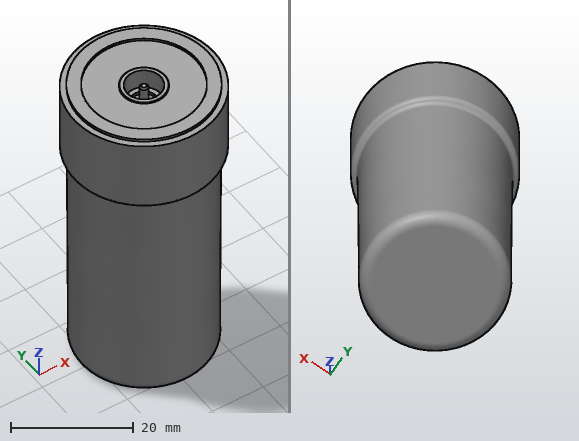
import cadquery as cq

height = 59.6
head_radius = 13.8
body_top_radius = 12.7
body_base_radius = 12.485
base_fillet = 2.0

rim_height = 0.55
head_bottom = 45.6
neck_height = 1.8

recess_diameter = 20.55
recess_depth = 0.5

collar_diameter = 8.2
collar_height = 0.2
collar_chamfer = 0.1
bore_diameter = 6.6
bore_depth = 3.95
lower_bore_diameter = 4.75
lower_bore_depth = 0.6
pin_diameter = 1.5
pin_drop = 0.2
pin_chamfer = 0.3

shoulder_z = height - rim_height
neck_z = head_bottom - neck_height
recess_z = height - recess_depth
collar_top = recess_z + collar_height
bore_floor = collar_top - bore_depth
lower_floor = bore_floor - lower_bore_depth


def disc(diameter, bottom, top):
    """Cylinder about Z between two levels."""
    return cq.Workplane("XY").workplane(offset=bottom).circle(diameter / 2).extrude(top - bottom)


def make_body():
    """Tapered body and wider head joined by two equal tangent arcs."""
    middle = ((head_radius + body_top_radius) / 2, head_bottom - neck_height / 2)
    profile = (
        cq.Workplane("XZ")
        .lineTo(body_base_radius, 0)
        .lineTo(body_top_radius, neck_z)
        .tangentArcPoint(middle, relative=False)
        .tangentArcPoint((head_radius, head_bottom), relative=False)
        .lineTo(head_radius, shoulder_z)
        .lineTo(body_top_radius, shoulder_z)
        .lineTo(body_top_radius, height)
        .lineTo(0, height)
        .close()
    )
    return profile.revolve(360, (0, 0, 0), (0, 1, 0)).faces("<Z").edges().fillet(base_fillet)


def add_socket(body):
    """Recess the top, then add the collar, the stepped bore and the pin."""
    collar = disc(collar_diameter, recess_z, collar_top).faces(">Z").chamfer(collar_chamfer)
    pin = disc(pin_diameter, lower_floor, collar_top - pin_drop).faces(">Z").chamfer(pin_chamfer)
    return (
        body.cut(disc(recess_diameter, recess_z, height))
        .union(collar)
        .cut(disc(bore_diameter, bore_floor, collar_top))
        .cut(disc(lower_bore_diameter, lower_floor, bore_floor))
        .union(pin)
    )


result = add_socket(make_body())